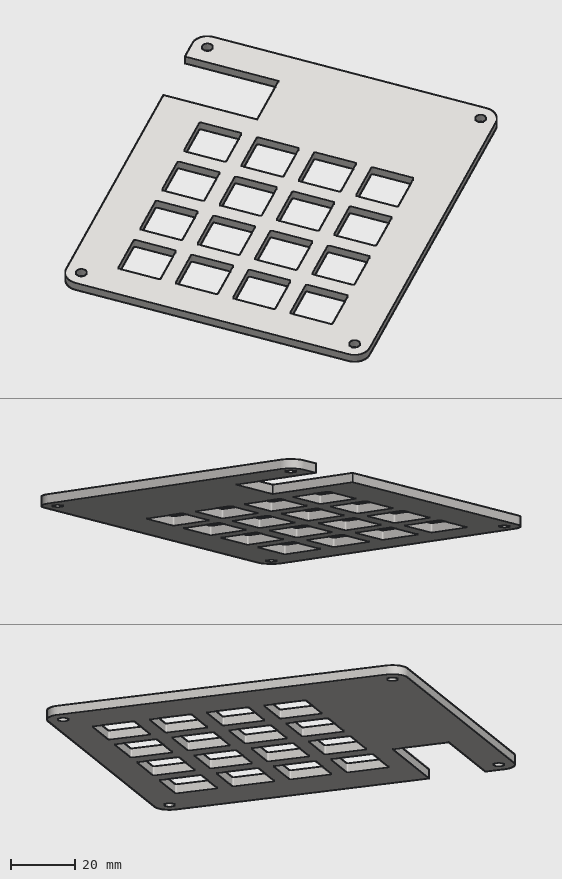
import cadquery as cq

width = 101.0
length = 120.0
thickness = 3.0
corner_radius = 5.0

mount_hole_diameter = 3.4
mount_spacing_x = width - 2 * corner_radius
mount_spacing_y = length - 2 * corner_radius

key_count = 4
key_pitch = 19.1
key_size = 14.0
key_corner_radius = 0.5
key_left_margin = 15.0
key_bottom_margin = 10.9
key_grid_span = (key_count - 1) * key_pitch + key_size
key_grid_center_x = -width / 2 + key_left_margin + key_grid_span / 2
key_grid_center_y = -length / 2 + key_bottom_margin + key_grid_span / 2

notch_depth = 31.2
notch_height = 18.7
notch_top_margin = 11.5


def make_plate():
    """Flat plate with four rounded corners."""
    plate = cq.Workplane("XY").rect(width, length).extrude(thickness)
    return plate.edges("|Z").fillet(corner_radius)


def make_mount_holes():
    """Cylinders that pierce the plate near its corners."""
    return (
        cq.Workplane("XY")
        .rect(mount_spacing_x, mount_spacing_y, forConstruction=True)
        .vertices()
        .circle(mount_hole_diameter / 2)
        .extrude(thickness)
    )


def make_key_openings():
    """Square grid of through openings with slightly eased corners."""
    return (
        cq.Workplane("XY")
        .center(key_grid_center_x, key_grid_center_y)
        .rarray(key_pitch, key_pitch, key_count, key_count)
        .rect(key_size, key_size)
        .extrude(thickness)
        .edges("|Z")
        .fillet(key_corner_radius)
    )


def make_notch():
    """Block that opens the left edge below the top corner."""
    return (
        cq.Workplane("XY")
        .box(notch_depth, notch_height, thickness, centered=False)
        .translate((-width / 2, length / 2 - notch_top_margin - notch_height, 0))
    )


result = (
    make_plate()
    .cut(make_mount_holes())
    .cut(make_key_openings())
    .cut(make_notch())
)